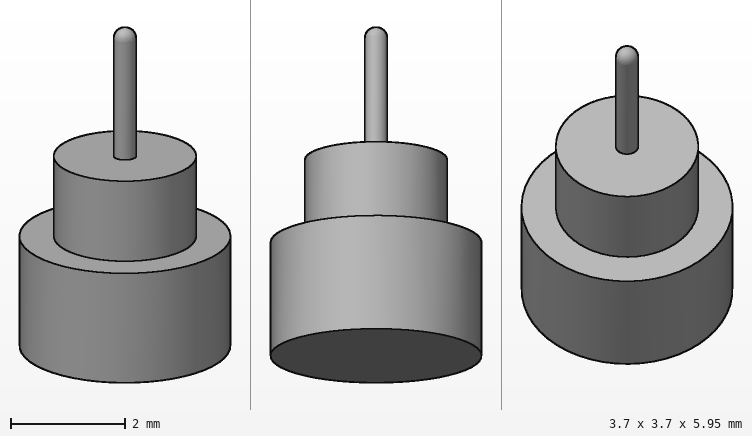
import cadquery as cq

total_height = 5.95
base_diameter = 3.7
base_height = 2.05
collar_diameter = 2.5
collar_height = 1.5
pin_diameter = 0.4
tip_radius = 0.19

pin_height = total_height - base_height - collar_height


def cylinder(diameter, height, bottom):
    """Upright cylinder centred on the Z axis, standing at the given level."""
    return cq.Workplane("XY").workplane(offset=bottom).circle(diameter / 2).extrude(height)


base = cylinder(base_diameter, base_height, 0)
collar = cylinder(collar_diameter, collar_height, base_height)

pin = cylinder(pin_diameter, pin_height, base_height + collar_height)
pin = pin.faces(">Z").edges().fillet(tip_radius)

result = base.union(collar).union(pin)